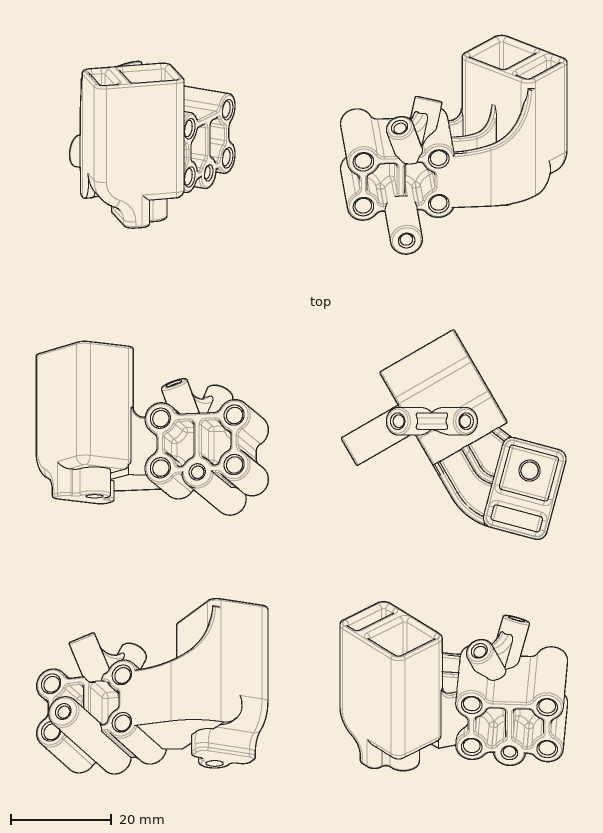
import cadquery as cq
import math

BLOCK_ANGLE = 30.0
BOX_ANGLE = -15.0
BEND = BLOCK_ANGLE - BOX_ANGLE

BLOCK_BACK = 12.9
BLOCK_LENGTH = 17.1
BLOCK_FRONT = BLOCK_BACK - BLOCK_LENGTH
TUBE_DIAMETER = 6.4
TUBE_BORE = 3.3
TUBE_SPACING_Y = 15.0
TUBE_SPACING_Z = 10.0
BLOCK_CENTER_Y = 2.95
LOWER_TUBE_Z = 5.0
UPPER_TUBE_Z = LOWER_TUBE_Z + TUBE_SPACING_Z
TUBE_LEFT_Y = BLOCK_CENTER_Y + TUBE_SPACING_Y / 2
TUBE_RIGHT_Y = BLOCK_CENTER_Y - TUBE_SPACING_Y / 2
WEB = 1.5
LOWER_WEB_Z = 4.4
WEB_FILLET = 1.6
CELL_FILLET = 0.9
EDGE_ROUND = 0.35
BORE_CHAMFER = 0.4

LONG_TUBE_REACH = 13.15
LONG_TUBE_Z = 3.85
PILOT_BORE = 2.5
PILOT_CHAMFER = 0.4

SLANT_DIAMETER = 5.5
SLANT_ANGLE = 30.0
SLANT_MEETING_Z = 11.5
SLANT_LENGTH = 13.6
SLANT_BORE_DEPTH = 9.0
SADDLE_RADIUS = 5.2
SADDLE_BOTTOM_Z = 21.05
SADDLE_THICKNESS = 3.2
SADDLE_ROUND = 1.0

BOX_LEFT = 14.75
BOX_WIDTH = 13.0
BOX_RIGHT = BOX_LEFT + BOX_WIDTH
BOX_CENTER_X = BOX_LEFT + BOX_WIDTH / 2
BOX_FRONT = -17.33
BOX_BACK = 1.1
BOX_TOP = 30.0
BOX_CORNER = 2.0
BOX_EDGE_ROUND = 0.5
BOX_WALL = 1.5
BOX_FLOOR_BOTTOM = 5.3
BOX_FLOOR_ROUND = 1.6
BELLY_RADIUS = 6.2
BELLY_TOP_Z = 10.1
FOOT_FRONT = -11.3
FOOT_BACK = -6.0
FOOT_FILLET = 3.0
BOSS_FILLET = 1.0
DIVIDER_BACK = -9.5
DIVIDER_FRONT = -12.7
POCKET_CORNER = 0.6
RIM_ROUND = 0.9
BOSS_DIAMETER = 6.4
BOSS_Y = -4.45
BOSS_BORE = 3.4
BOSS_CHAMFER = 0.4

ARM_BOTTOM = 4.0
ARM_FLOOR = 1.5
ARM_TOP = 15.8
RIB = 1.5
RIB_ROUND = 0.4
RIB_BASE_FILLET = 0.5
ARM_EMBED = 0.7
OUTER_SWEEP_END = BOX_LEFT + 0.5
OUTER_CORNER_X = (BLOCK_FRONT - BOX_FRONT * math.sin(math.radians(BEND))) / math.cos(math.radians(BEND))
OUTER_BEND = (BOX_LEFT + BOX_CORNER - OUTER_CORNER_X) / math.tan(math.radians(BEND / 2))
OUTER_RIB = (BLOCK_FRONT, BOX_FRONT, OUTER_BEND, OUTER_SWEEP_END, 12.5)
MIDDLE_RIB = (2.35, -8.9, 5.5, BOX_LEFT, 6.2)
STRAIGHT_RIB_ANGLE = -37.5
STRAIGHT_RIB_Y = 5.6
STRAIGHT_RIB_START = 8.0
STRAIGHT_RIB_END = 15.0
STRAIGHT_RIB_SWEEP_END = 14.0
STRAIGHT_RIB_SWEEP = 2.0
LAP_CENTER_X = 17.2
LAP_RADIUS = 4.2

FAR = 2 * BOX_TOP
SLACK = 0.1


def turn(shape, angle):
    return shape.rotate((0, 0, 0), (0, 0, 1), angle)


def turned_point(x, y, angle):
    """Plan point (x, y) turned about the origin."""
    c = math.cos(math.radians(angle))
    s = math.sin(math.radians(angle))
    return (x * c - y * s, x * s + y * c)


def plan_direction(angle):
    """Selector for straight edges along one plan direction."""
    return cq.selectors.ParallelDirSelector(cq.Vector(*turned_point(1, 0, angle)))


def rod(diameter, x_start, x_end, y, z):
    """Cylinder along X."""
    section = cq.Workplane("YZ", origin=(x_start, y, z)).circle(diameter / 2)
    return section.extrude(x_end - x_start)


def bar(y_min, y_max, z_min, z_max, x_min=BLOCK_FRONT, x_max=BLOCK_BACK):
    """Rectangular bar given by its limits, as long as the block unless told otherwise."""
    size = (x_max - x_min, y_max - y_min, z_max - z_min)
    return cq.Workplane("XY").box(*size, centered=False).translate((x_min, y_min, z_min))


def tube_positions():
    return [(y, z) for y in (TUBE_LEFT_Y, TUBE_RIGHT_Y) for z in (LOWER_TUBE_Z, UPPER_TUBE_Z)]


def block_tubes():
    tubes = cq.Workplane("XY")
    for y, z in tube_positions():
        tubes = tubes.add(rod(TUBE_DIAMETER, BLOCK_FRONT, BLOCK_BACK, y, z))
    return tubes.combine()


def make_cells():
    """Pockets between tubes and webs, open at both ends and closed by a wall halfway."""
    depth = (BLOCK_LENGTH - WEB) / 2
    half = WEB / 2
    long_tube = rod(TUBE_DIAMETER, BLOCK_FRONT, BLOCK_BACK, BLOCK_CENTER_Y, LONG_TUBE_Z)
    cells = []
    for x_min in (BLOCK_FRONT, BLOCK_BACK - depth):
        for y_min in (TUBE_RIGHT_Y + half, BLOCK_CENTER_Y + half):
            y_max = y_min + TUBE_SPACING_Y / 2 - WEB
            cell = bar(y_min, y_max, LOWER_WEB_Z + half, UPPER_TUBE_Z - half, x_min, x_min + depth)
            cell = cell.cut(block_tubes()).cut(long_tube)
            cell = cell.edges("|X").fillet(CELL_FILLET)
            inner_end = ">X" if x_min == BLOCK_FRONT else "<X"
            cells.append(cell.faces(inner_end).edges().fillet(CELL_FILLET))
    return cells


def make_block():
    half = WEB / 2
    core = bar(TUBE_RIGHT_Y - half, TUBE_LEFT_Y + half, LOWER_WEB_Z - half, UPPER_TUBE_Z + half)
    block = core.union(block_tubes()).edges("|X").fillet(WEB_FILLET)
    for cell in make_cells():
        block = block.cut(cell)
    return block.faces("<X or >X").edges().fillet(EDGE_ROUND)


def make_long_tube():
    start = BLOCK_FRONT - LONG_TUBE_REACH
    tube = rod(TUBE_DIAMETER, start, BLOCK_BACK, BLOCK_CENTER_Y, LONG_TUBE_Z)
    return tube.faces("<X or >X").edges().fillet(EDGE_ROUND)


def chamfered_bore(diameter, chamfer, x_start, x_end, y, z):
    """Cutter along X with a chamfer at both mouths."""
    cutter = rod(diameter, x_start, x_end, y, z)
    radius = diameter / 2
    for x, direction in ((x_start, 1), (x_end, -1)):
        mouth = cq.Vector(x, y, z)
        cone = cq.Solid.makeCone(radius + chamfer, radius, chamfer, mouth, cq.Vector(direction, 0, 0))
        cutter = cutter.union(cq.Workplane(cone))
    return cutter


def block_bores():
    bores = cq.Workplane("XY")
    for y, z in tube_positions():
        bores = bores.add(chamfered_bore(TUBE_BORE, BORE_CHAMFER, BLOCK_FRONT, BLOCK_BACK, y, z))
    start = BLOCK_FRONT - LONG_TUBE_REACH
    long_bore = chamfered_bore(PILOT_BORE, PILOT_CHAMFER, start, BLOCK_BACK, BLOCK_CENTER_Y, LONG_TUBE_Z)
    return bores.add(long_bore).combine()


def lean(shape, side):
    """Lean an upright shape to one side about the meeting point of the slanted tubes."""
    leaned = shape.rotate((0, 0, 0), (0, 1, 0), side * SLANT_ANGLE)
    return leaned.translate((0, 0, SLANT_MEETING_Z))


def make_slanted_tubes():
    """Slanted tubes and the saddle web that joins them, ending at the underside of the top web."""
    base_z = UPPER_TUBE_Z - WEB / 2
    spread = SLANT_LENGTH * math.sin(math.radians(SLANT_ANGLE))
    rise = SLANT_LENGTH * math.cos(math.radians(SLANT_ANGLE))
    saddle_top = SADDLE_BOTTOM_Z + SADDLE_RADIUS
    saddle = cq.Workplane("XY").box(2 * SADDLE_RADIUS, SADDLE_THICKNESS, saddle_top - base_z)
    saddle = saddle.translate((0, 0, (saddle_top + base_z) / 2))
    scoop = cq.Workplane("XZ", origin=(0, 0, saddle_top)).circle(SADDLE_RADIUS)
    saddle = saddle.cut(scoop.extrude(SADDLE_THICKNESS, both=True))
    saddle = saddle.edges("%CIRCLE").fillet(SADDLE_ROUND)
    between = (
        cq.Workplane("XZ")
        .moveTo(0, SLANT_MEETING_Z)
        .lineTo(-spread, SLANT_MEETING_Z + rise)
        .lineTo(spread, SLANT_MEETING_Z + rise)
        .close()
        .extrude(SADDLE_THICKNESS, both=True)
    )
    tubes = saddle.intersect(between)
    for side in (-1, 1):
        tube = cq.Workplane("XY").circle(SLANT_DIAMETER / 2).extrude(SLANT_LENGTH)
        tubes = tubes.union(lean(tube.faces(">Z").edges().fillet(EDGE_ROUND), side))
    keep = cq.Workplane("XY", origin=(0, 0, base_z)).rect(4 * spread, 2 * SLANT_DIAMETER).extrude(BOX_TOP)
    return tubes.intersect(keep)


def slanted_bores():
    """Blind bores down the slanted tubes, chamfered at the mouth."""
    radius = PILOT_BORE / 2
    mouth = cq.Vector(0, 0, SLANT_LENGTH)
    down = cq.Vector(0, 0, -1)
    bores = cq.Workplane("XY")
    for side in (-1, 1):
        bore = cq.Workplane("XY", origin=(0, 0, SLANT_LENGTH)).circle(radius).extrude(-SLANT_BORE_DEPTH)
        cone = cq.Solid.makeCone(radius + PILOT_CHAMFER, radius, PILOT_CHAMFER, mouth, down)
        bores = bores.add(lean(bore.union(cq.Workplane(cone)), side))
    return bores.combine()


def box_profile():
    """Side outline of the box: a round belly at the front running through a hollow into the foot."""
    belly_y = BOX_FRONT + BELLY_RADIUS
    hollow_y = FOOT_FRONT - FOOT_FILLET
    reach = BELLY_RADIUS + FOOT_FILLET
    hollow_z = BELLY_TOP_Z - math.sqrt(reach**2 - (hollow_y - belly_y) ** 2)
    meeting = math.atan2(hollow_z - BELLY_TOP_Z, hollow_y - belly_y)
    hollow_start = meeting + math.pi

    def on_belly(angle):
        return (belly_y + BELLY_RADIUS * math.cos(angle), BELLY_TOP_Z + BELLY_RADIUS * math.sin(angle))

    def on_hollow(angle):
        return (hollow_y + FOOT_FILLET * math.cos(angle), hollow_z + FOOT_FILLET * math.sin(angle))

    return (
        cq.Workplane("YZ", origin=(BOX_LEFT, 0, 0))
        .moveTo(BOX_FRONT, BOX_TOP)
        .lineTo(BOX_FRONT, BELLY_TOP_Z)
        .threePointArc(on_belly((meeting - math.pi) / 2), on_belly(meeting))
        .threePointArc(on_hollow(hollow_start / 2), on_hollow(0))
        .lineTo(FOOT_FRONT, 0)
        .lineTo(FOOT_BACK, 0)
        .lineTo(FOOT_BACK, BOX_FLOOR_BOTTOM)
        .lineTo(BOX_BACK, BOX_FLOOR_BOTTOM)
        .lineTo(BOX_BACK, BOX_TOP)
        .close()
    )


def make_box():
    """Outer body of the socket box with its foot and the round boss behind the foot."""
    body = box_profile().extrude(BOX_WIDTH)
    across = plan_direction(0)
    front_chain = cq.selectors.BoxSelector((-FAR, -FAR, -FAR), (FAR, FOOT_FRONT + 0.5, FAR), True)
    foot_back = cq.selectors.BoxSelector((-FAR, FOOT_BACK - SLACK, -SLACK), (FAR, FOOT_BACK + SLACK, FAR), True)
    body = body.edges(front_chain - across).fillet(BOX_CORNER)
    body = body.edges(foot_back - across).fillet(BOX_CORNER)
    body = body.edges("|Z and >Y").fillet(BOX_CORNER)
    back_bottom = cq.selectors.BoxSelector(
        (-FAR, FOOT_BACK + 2 * SLACK, BOX_FLOOR_BOTTOM - SLACK),
        (FAR, FAR, BOX_FLOOR_BOTTOM + SLACK),
    )
    body = body.edges(back_bottom).fillet(BOX_FLOOR_ROUND)

    boss_radius = BOSS_DIAMETER / 2
    boss = cq.Workplane("XY").center(BOX_CENTER_X, BOSS_Y).circle(boss_radius)
    body = body.union(boss.extrude(BOX_FLOOR_BOTTOM + BOX_WALL / 2))
    beside_boss = cq.selectors.BoxSelector(
        (BOX_CENTER_X - boss_radius, -FAR, -FAR), (BOX_CENTER_X + boss_radius, FAR, FAR), True
    )
    body = body.edges("|Z").edges(foot_back).edges(beside_boss).fillet(BOSS_FILLET)
    return body.faces(">Z or <Z").edges().fillet(BOX_EDGE_ROUND)


def box_pockets():
    """Square socket, belly pocket and the bore through the boss."""
    left = BOX_LEFT + BOX_WALL
    right = BOX_RIGHT - BOX_WALL
    back = BOX_BACK - BOX_WALL
    floor = BOX_FLOOR_BOTTOM + BOX_WALL
    socket = bar(DIVIDER_BACK, back, floor, BOX_TOP, left, right)
    socket = socket.edges("|Z or <Z").fillet(POCKET_CORNER)

    front = BOX_FRONT + BOX_WALL
    inner_radius = BELLY_RADIUS - BOX_WALL
    belly = bar(front, DIVIDER_FRONT, BELLY_TOP_Z - inner_radius, BOX_TOP, left, right)
    round_floor = rod(2 * inner_radius, left, right, front + inner_radius, BELLY_TOP_Z)
    upper = bar(front, DIVIDER_FRONT, BELLY_TOP_Z, BOX_TOP, left, right)
    belly = belly.intersect(round_floor.union(upper)).edges("|Z").fillet(POCKET_CORNER)

    radius = BOSS_BORE / 2
    bore = cq.Workplane("XY").center(BOX_CENTER_X, BOSS_Y).circle(radius).extrude(BOX_TOP)
    cone_base = cq.Vector(BOX_CENTER_X, BOSS_Y, floor - BOSS_CHAMFER)
    cone = cq.Solid.makeCone(radius, radius + BOSS_CHAMFER, BOSS_CHAMFER, cone_base)
    return [socket, belly, bore.union(cq.Workplane(cone))]


def trace_bend(x, y, radius):
    """Start, middle and end of a bend from the block's plane X = x to the box's plane Y = y, and
    the point where the path ends inside the box wall."""
    c = math.cos(math.radians(BEND))
    s = math.sin(math.radians(BEND))
    half_bend = math.radians(BEND / 2)
    corner_y = (y - x * s) / c
    setback = radius * math.tan(half_bend)
    center_x = x + radius
    center_y = corner_y + setback
    start = (x, center_y)
    middle = (center_x - radius * math.cos(half_bend), center_y - radius * math.sin(half_bend))
    finish = (x + setback * s, corner_y - setback * c)
    finish_x_in_box = center_x * c - center_y * s
    end = turned_point(max(BOX_LEFT, finish_x_in_box) + ARM_EMBED, y, -BEND)
    return start, middle, finish, end


def bent_rib_plan(x, y, radius):
    """Closed outline of a bent rib of even thickness."""
    outer_start, outer_middle, outer_finish, outer_end = trace_bend(x, y, radius)
    inner_start, inner_middle, inner_finish, inner_end = trace_bend(x + RIB, y + RIB, radius - RIB)
    return (
        cq.Workplane("XY", origin=(0, 0, ARM_BOTTOM))
        .moveTo(x, TUBE_RIGHT_Y)
        .lineTo(*outer_start)
        .threePointArc(outer_middle, outer_finish)
        .lineTo(*outer_end)
        .lineTo(*inner_end)
        .lineTo(*inner_finish)
        .threePointArc(inner_middle, inner_start)
        .lineTo(x + RIB, TUBE_RIGHT_Y)
        .close()
    )


def space_above_rib(end_x, radius):
    """Space over a rib: flat at first, then sweeping up a quarter circle that ends at X = end_x."""
    sweep_x = end_x - radius
    sweep_z = ARM_TOP + radius
    diagonal = radius * math.sqrt(0.5)
    return (
        cq.Workplane("XZ", origin=(0, FAR, 0))
        .moveTo(-FAR, ARM_TOP)
        .lineTo(sweep_x, ARM_TOP)
        .threePointArc((sweep_x + diagonal, sweep_z - diagonal), (end_x, sweep_z))
        .lineTo(FAR, sweep_z)
        .lineTo(FAR, FAR)
        .lineTo(-FAR, FAR)
        .close()
        .extrude(2 * FAR)
    )


def make_bent_rib(x, y, plan_radius, sweep_end, sweep_radius):
    """Rib along the block, bent towards the box, with its two top edges rounded."""
    rib = bent_rib_plan(x, y, plan_radius).extrude(BOX_TOP - ARM_BOTTOM)
    rib = rib.cut(turn(space_above_rib(sweep_end, sweep_radius), -BEND))
    top = cq.selectors.BoxSelector((-FAR, -FAR, ARM_TOP - SLACK), (FAR, FAR, FAR), True)
    across_start = plan_direction(0)
    across_sweep = plan_direction(90 - BEND)
    return rib.edges(top - across_start - across_sweep).fillet(RIB_ROUND)


def make_straight_rib():
    """Short straight rib from the block's corner to the box's corner."""
    back_y = STRAIGHT_RIB_Y + RIB
    rib = bar(STRAIGHT_RIB_Y, back_y, ARM_BOTTOM, BOX_TOP, STRAIGHT_RIB_START, STRAIGHT_RIB_END)
    rib = rib.cut(space_above_rib(STRAIGHT_RIB_SWEEP_END, STRAIGHT_RIB_SWEEP))
    top = cq.selectors.BoxSelector((0, 0, ARM_TOP - SLACK), (FAR, FAR, FAR), True)
    rib = rib.edges(top - plan_direction(90)).fillet(RIB_ROUND)
    return turn(rib, STRAIGHT_RIB_ANGLE - BLOCK_ANGLE)


def make_arm_floor():
    x, y, radius = OUTER_RIB[:3]
    start, middle, finish, end = trace_bend(x, y, radius)
    back_y = STRAIGHT_RIB_Y + RIB
    back_turn = STRAIGHT_RIB_ANGLE - BLOCK_ANGLE
    return (
        cq.Workplane("XY", origin=(0, 0, ARM_BOTTOM))
        .moveTo(x, TUBE_RIGHT_Y)
        .lineTo(*start)
        .threePointArc(middle, finish)
        .lineTo(*end)
        .lineTo(*turned_point(STRAIGHT_RIB_END, back_y, back_turn))
        .lineTo(*turned_point(STRAIGHT_RIB_START, back_y, back_turn))
        .close()
        .extrude(ARM_FLOOR)
    )


def make_arm():
    arm = make_arm_floor().union(make_straight_rib())
    for rib in (OUTER_RIB, MIDDLE_RIB):
        arm = arm.union(make_bent_rib(*rib))
    return arm


def make_lap():
    """Rounded end of the outer rib lapping over the belly of the box."""
    lap = cq.Workplane("XZ", origin=(0, BOX_FRONT + RIB, ARM_BOTTOM + LAP_RADIUS)).center(LAP_CENTER_X, 0)
    lap = lap.circle(LAP_RADIUS).extrude(RIB)
    start_x = BOX_LEFT + BOX_CORNER
    beside_belly = bar(BOX_FRONT, BOX_FRONT + RIB, ARM_BOTTOM, BELLY_TOP_Z, start_x, BOX_RIGHT)
    return lap.intersect(beside_belly)


def edges_at(height):
    """Selector for edges lying in one horizontal plane."""
    low = (-FAR, -FAR, height - SLACK / 2)
    high = (FAR, FAR, height + SLACK / 2)
    return cq.selectors.BoxSelector(low, high, True)


def fillet_rib_bases(part):
    """Fillets between the arm floor and the ribs, which follow each rib round its bend."""
    along_ribs = plan_direction(BLOCK_ANGLE - 90) + plan_direction(STRAIGHT_RIB_ANGLE)
    return part.edges(edges_at(ARM_BOTTOM + ARM_FLOOR)).edges(along_ribs).fillet(RIB_BASE_FILLET)


def round_pocket_rims(part):
    rims = [edge for wire in part.faces(">Z").val().innerWires() for edge in wire.Edges()]
    return part.newObject(rims).fillet(RIM_ROUND)


result = turn(make_block().union(make_long_tube()).union(make_arm()), BLOCK_ANGLE)
result = result.union(turn(make_box().union(make_lap()), BOX_ANGLE))
result = result.union(make_slanted_tubes())
result = result.cut(turn(block_bores(), BLOCK_ANGLE)).cut(slanted_bores())
for pocket in box_pockets():
    result = result.cut(turn(pocket, BOX_ANGLE))
result = round_pocket_rims(result)
result = fillet_rib_bases(result)